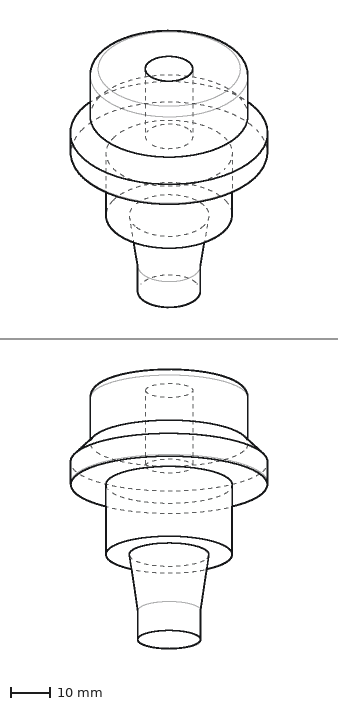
import cadquery as cq

tip_diameter = 16.0
taper_top_diameter = 20.2
body_diameter = 32.0
flange_diameter = 50.0
head_diameter = 40.0
bore_diameter = 12.0

tip_top = 7.7
taper_top = 22.5
body_top = 41.0
flange_rim_top = 47.0
total_height = 66.0

flange_slope_top = flange_rim_top + (flange_diameter - head_diameter) / 2

flange_edge_height = 0.45
flange_edge_inset = 0.1

head_fillet = 2.0
bore_depth = 20.0

profile = (
    cq.Workplane("XZ")
    .lineTo(tip_diameter / 2, 0)
    .lineTo(tip_diameter / 2, tip_top)
    .lineTo(taper_top_diameter / 2, taper_top)
    .lineTo(body_diameter / 2, taper_top)
    .lineTo(body_diameter / 2, body_top)
    .lineTo(flange_diameter / 2 - flange_edge_inset, body_top)
    .lineTo(flange_diameter / 2, body_top + flange_edge_height)
    .lineTo(flange_diameter / 2, flange_rim_top)
    .lineTo(head_diameter / 2, flange_slope_top)
    .lineTo(head_diameter / 2, total_height)
    .lineTo(0, total_height)
    .close()
)
turned_body = profile.revolve(360, (0, 0, 0), (0, 1, 0))

rounded_body = turned_body.faces(">Z").edges().fillet(head_fillet)

bore = (
    cq.Workplane("XY")
    .workplane(offset=total_height - bore_depth)
    .circle(bore_diameter / 2)
    .extrude(bore_depth)
)

result = rounded_body.cut(bore)